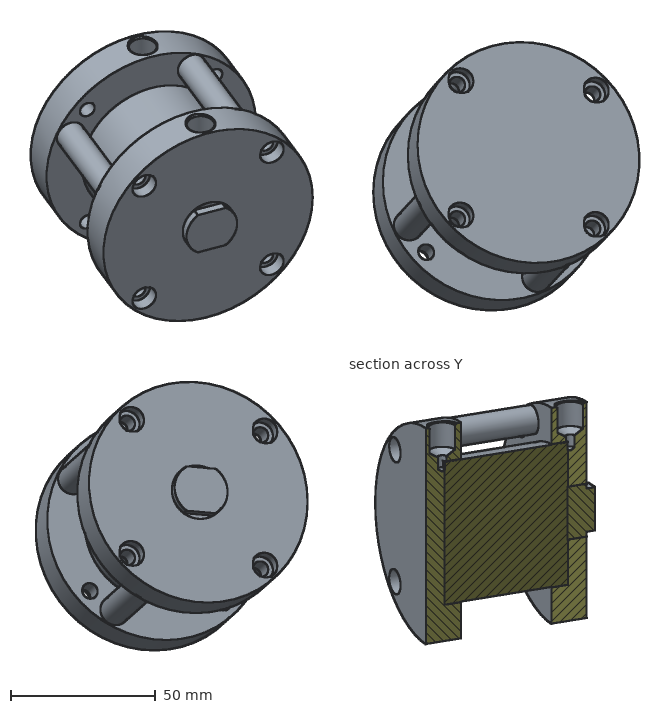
import cadquery as cq
import math


cap_radius = 39.6
cap_thickness = 13.6
cap_gap = 34.9
cap_inner_x = cap_gap / 2
cap_outer_x = cap_inner_x + cap_thickness

barrel_radius = 26.15
barrel_seat_depth = 6.35
seat_floor_x = cap_inner_x + barrel_seat_depth

pitch_radius = 34.15
points_per_circle = 4
rod_radius = 5.15
rod_start_angle = 63.5
bolt_start_angle = 45.0
bolt_radius = 2.8
counterbore_radius = 4.4
counterbore_depth = 5.15

port_x = cap_inner_x + 7.2
port_radius = 4.8
port_depth = 9.5
port_chamfer = 0.6
drill_half_angle = math.radians(59.0)
passage_radius = 1.6
passage_depth = 15.85

shaft_radius = 9.6
shaft_projection = 3.2
shaft_across_flats = 16.0
shaft_end_x = cap_outer_x + shaft_projection


def x_cylinder(radius, x_start, x_end, y=0.0, z=0.0):
    """Cylinder parallel to X between two X positions."""
    return cq.Workplane("YZ", origin=(x_start, y, z)).circle(radius).extrude(x_end - x_start)


def pitch_points(start_angle):
    """Evenly spaced (y, z) points on the pitch circle."""
    angles = [math.radians(start_angle + 360 * i / points_per_circle) for i in range(points_per_circle)]
    return [(pitch_radius * math.cos(a), pitch_radius * math.sin(a)) for a in angles]


def make_port_cutter():
    """Chamfered port with a drill-point floor and a narrow passage, turned about a vertical axis."""
    top = cap_radius
    port_floor = top - port_depth
    passage_floor = top - passage_depth
    shoulder_z = port_floor - (port_radius - passage_radius) / math.tan(drill_half_angle)
    tip_z = passage_floor - passage_radius / math.tan(drill_half_angle)
    profile = [
        (0, top),
        (port_radius + port_chamfer, top),
        (port_radius, top - port_chamfer),
        (port_radius, port_floor),
        (passage_radius, shoulder_z),
        (passage_radius, passage_floor),
        (0, tip_z),
    ]
    cutter = cq.Workplane("XZ").polyline(profile).close().revolve(360, (0, 0, 0), (0, 1, 0))
    return cutter.translate((port_x, 0, 0))


def make_cap():
    """Cap at the +X end, without the shaft bore."""
    cap = x_cylinder(cap_radius, cap_inner_x, cap_outer_x)
    cap = cap.cut(x_cylinder(barrel_radius, cap_inner_x, seat_floor_x))
    for y, z in pitch_points(bolt_start_angle):
        cap = cap.cut(x_cylinder(bolt_radius, cap_inner_x, cap_outer_x, y, z))
        cap = cap.cut(x_cylinder(counterbore_radius, cap_outer_x - counterbore_depth, cap_outer_x, y, z))
    return cap.cut(make_port_cutter())


def make_tie_rod(y, z):
    """Plain rod held between the inner faces of the caps."""
    return x_cylinder(rod_radius, -cap_inner_x, cap_inner_x, y, z)


def make_shaft():
    """Round shaft from the barrel end through the front cap, with two flats on its exposed end."""
    shaft = x_cylinder(shaft_radius, seat_floor_x, cap_outer_x)
    flatted_end = x_cylinder(shaft_radius, cap_outer_x, shaft_end_x).intersect(
        cq.Workplane("YZ", origin=(cap_outer_x, 0, 0))
        .rect(2 * shaft_radius, shaft_across_flats)
        .extrude(shaft_projection)
    )
    return shaft.union(flatted_end)


front_cap = make_cap().cut(x_cylinder(shaft_radius, seat_floor_x, cap_outer_x))
rear_cap = make_cap().mirror("YZ")
barrel = x_cylinder(barrel_radius, -seat_floor_x, seat_floor_x)
tie_rods = [make_tie_rod(y, z) for y, z in pitch_points(rod_start_angle)]
shaft = make_shaft()

result = cq.Compound.makeCompound([
    front_cap.val(),
    rear_cap.val(),
    barrel.val(),
    *[rod.val() for rod in tie_rods],
    shaft.val(),
])